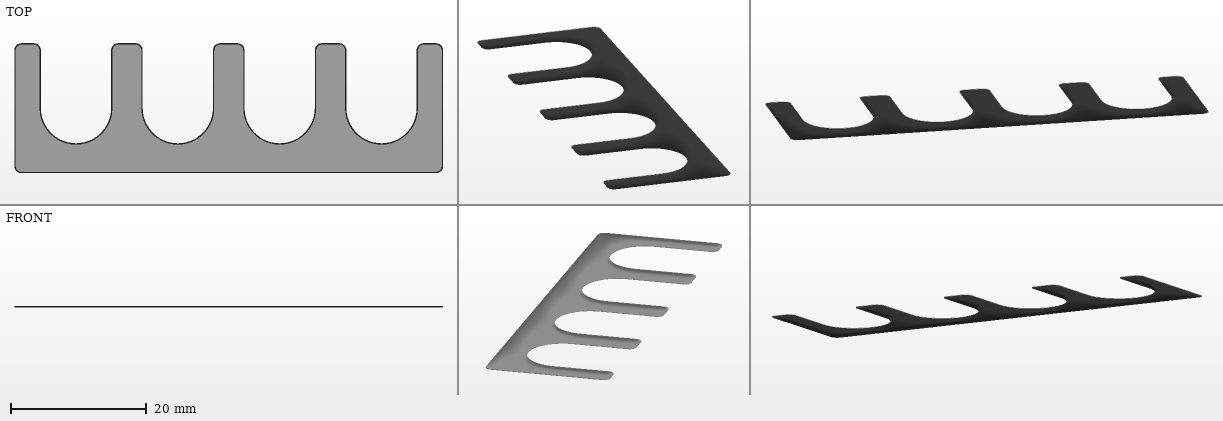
import cadquery as cq

length = 63.0
width = 19.0
thickness = 0.1
corner_radius = 1.0

slot_count = 4
slot_pitch = 15.0
slot_width = 10.5
slot_floor = 4.25

slot_radius = slot_width / 2
slot_center_y = -width / 2 + slot_floor + slot_radius


def make_plate():
    """Flat rectangular plate centred on the origin."""
    return cq.Workplane("XY").box(length, width, thickness)


def make_slot(center_x):
    """Cutter for one slot: a round bottom with straight sides out through the +Y edge."""
    straight_length = width / 2 - slot_center_y
    return (
        cq.Workplane("XY", origin=(center_x, slot_center_y, -thickness / 2))
        .moveTo(-slot_radius, straight_length)
        .lineTo(-slot_radius, 0)
        .threePointArc((0, -slot_radius), (slot_radius, 0))
        .lineTo(slot_radius, straight_length)
        .close()
        .extrude(thickness)
    )


def round_corners(body):
    """Round the plate corners and the finger tips, but not the slot tangent lines."""
    tip_edges = body.faces(">Y").edges("|Z")
    body = tip_edges.fillet(corner_radius)
    base_edges = body.faces("<Y").edges("|Z")
    return base_edges.fillet(corner_radius)


plate = make_plate()
for index in range(slot_count):
    slot_x = (index - (slot_count - 1) / 2) * slot_pitch
    plate = plate.cut(make_slot(slot_x))

result = round_corners(plate)